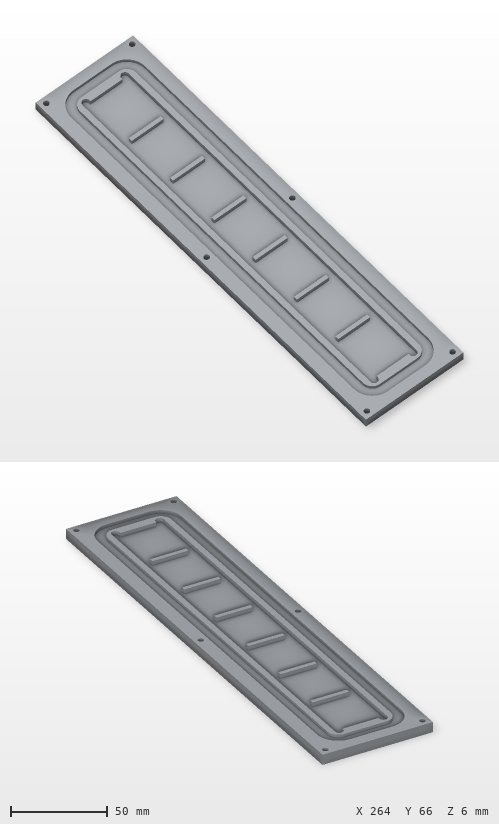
import cadquery as cq

plate_length = 264.0
plate_width = 66.0
plate_thickness = 6.0

screw_hole_diameter = 3.5
screw_spacing_x = 128.0
screw_spacing_y = 58.0
screw_columns = 3
screw_rows = 2

groove_length = 250.8
groove_width = 50.2
groove_corner_radius = 12.5
groove_band = 6.0
groove_depth = 2.0

pocket_count = 7
pocket_length = 30.5
rib_thickness = 2.5
pocket_width = 31.2
floor_depth = 3.0
pocket_pitch = pocket_length + rib_thickness

channel_length = 235.0
channel_width = 4.8
channel_spacing = pocket_width - channel_width


def plane_below_top(depth):
    """Horizontal workplane at the given depth below the top face."""
    return cq.Workplane("XY").workplane(offset=plate_thickness - depth)


def rounded_block(length, width, radius, depth):
    """Block with rounded vertical corners, reaching down from the top face."""
    return plane_below_top(depth).rect(length, width).extrude(depth).edges("|Z").fillet(radius)


def seal_groove():
    outer = rounded_block(groove_length, groove_width, groove_corner_radius, groove_depth)
    island = rounded_block(
        groove_length - 2 * groove_band,
        groove_width - 2 * groove_band,
        groove_corner_radius - groove_band,
        groove_depth,
    )
    return outer.cut(island)


def pockets():
    return (
        plane_below_top(floor_depth)
        .rarray(pocket_pitch, 2.6, pocket_count, 1)
        .rect(pocket_length, pocket_width)
        .extrude(floor_depth)
    )


def channels():
    return (
        plane_below_top(floor_depth)
        .rarray(2.6, channel_spacing, 1, 2)
        .slot2D(channel_length, channel_width)
        .extrude(floor_depth)
    )


plate = cq.Workplane("XY").box(plate_length, plate_width, plate_thickness, centered=(True, True, False))

screw_holes = (
    cq.Workplane("XY")
    .rarray(screw_spacing_x, screw_spacing_y, screw_columns, screw_rows)
    .circle(screw_hole_diameter / 2)
    .extrude(plate_thickness)
)

result = plate.cut(screw_holes).cut(seal_groove()).cut(pockets()).cut(channels())